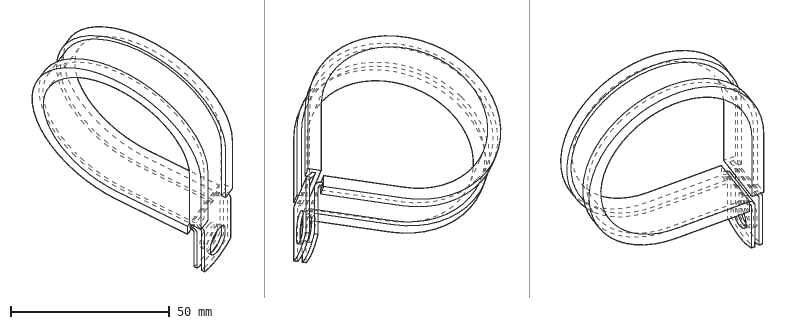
import cadquery as cq
import math


bore_radius = 27.0
liner_thickness = 1.5
strap_thickness = 1.25
lip_thickness = 1.5
strap_inner_radius = bore_radius + liner_thickness
strap_outer_radius = strap_inner_radius + strap_thickness
cushion_outer_radius = strap_outer_radius + lip_thickness

cushion_width = 18.92
strap_width = 15.8
groove_width = 10.6

upright_leg_length = 25.2
level_leg_length = 26.2

tab_outer_x = 31.63
tab_gap = 1.5
tab_tip_z = -50.73
tab_tip_sag = 1.75
bolt_hole_diameter = 8.7
bolt_slot_length = 11.0
bolt_hole_z = -41.4

outer_tab_inner_x = tab_outer_x - strap_thickness
inner_tab_outer_x = outer_tab_inner_x - tab_gap
inner_tab_inner_x = inner_tab_outer_x - strap_thickness

jog_lead = 0.2
jog_start_z = -upright_leg_length + jog_lead
bend_inner_radius = strap_thickness
bend_outer_radius = bend_inner_radius + strap_thickness


def xz_sketch(width):
    """Workplane with local axes X and Z, set so extruding by width is centred on Y = 0."""
    return cq.Workplane("XZ", origin=(0, width / 2, 0))


def loop_band(inner_radius, outer_radius, width):
    """Three-quarter ring with an upright leg at +X and a level leg at -Z."""
    diagonal = math.sqrt(0.5)
    return (
        xz_sketch(width)
        .moveTo(outer_radius, -upright_leg_length)
        .lineTo(outer_radius, 0)
        .threePointArc((-outer_radius * diagonal, outer_radius * diagonal), (0, -outer_radius))
        .lineTo(level_leg_length, -outer_radius)
        .lineTo(level_leg_length, -inner_radius)
        .lineTo(0, -inner_radius)
        .threePointArc((-inner_radius * diagonal, inner_radius * diagonal), (inner_radius, 0))
        .lineTo(inner_radius, -upright_leg_length)
        .close()
        .extrude(width)
    )


def point_around(center, radius, degrees):
    """Point at an angle on a circle; 0 degrees is +X and 90 degrees is +Z."""
    angle = math.radians(degrees)
    return (center[0] + radius * math.cos(angle), center[1] + radius * math.sin(angle))


def outer_tab():
    """Strap end below the upright leg: a 45 degree jog outwards, then a straight tab."""
    first_center = (strap_outer_radius + bend_inner_radius, jog_start_z)
    second_center_x = tab_outer_x - bend_outer_radius
    slope_start = point_around(first_center, bend_inner_radius, 225)
    slope_end_x = point_around((second_center_x, 0), bend_outer_radius, 45)[0]
    slope_end_z = slope_start[1] - (slope_end_x - slope_start[0])
    second_center = (
        second_center_x,
        slope_end_z - bend_outer_radius * math.sin(math.radians(45)),
    )
    return (
        xz_sketch(strap_width)
        .moveTo(strap_inner_radius, jog_start_z)
        .lineTo(strap_outer_radius, jog_start_z)
        .threePointArc(point_around(first_center, bend_inner_radius, 202.5), slope_start)
        .lineTo(slope_end_x, slope_end_z)
        .threePointArc(
            point_around(second_center, bend_outer_radius, 22.5),
            point_around(second_center, bend_outer_radius, 0),
        )
        .lineTo(tab_outer_x, tab_tip_z)
        .lineTo(outer_tab_inner_x, tab_tip_z)
        .lineTo(*point_around(second_center, bend_inner_radius, 0))
        .threePointArc(
            point_around(second_center, bend_inner_radius, 22.5),
            point_around(second_center, bend_inner_radius, 45),
        )
        .lineTo(*point_around(first_center, bend_outer_radius, 225))
        .threePointArc(
            point_around(first_center, bend_outer_radius, 202.5),
            (strap_inner_radius, jog_start_z),
        )
        .close()
        .extrude(strap_width)
    )


def inner_tab():
    """Strap end beyond the level leg: a rounded right-angle bend down, then a straight tab."""
    bend_center = (
        inner_tab_outer_x - bend_outer_radius,
        -strap_inner_radius - bend_outer_radius,
    )
    return (
        xz_sketch(strap_width)
        .moveTo(level_leg_length, -strap_inner_radius)
        .lineTo(*point_around(bend_center, bend_outer_radius, 90))
        .threePointArc(
            point_around(bend_center, bend_outer_radius, 45),
            point_around(bend_center, bend_outer_radius, 0),
        )
        .lineTo(inner_tab_outer_x, tab_tip_z)
        .lineTo(inner_tab_inner_x, tab_tip_z)
        .lineTo(*point_around(bend_center, bend_inner_radius, 0))
        .threePointArc(
            point_around(bend_center, bend_inner_radius, 45),
            point_around(bend_center, bend_inner_radius, 90),
        )
        .lineTo(level_leg_length, -strap_outer_radius)
        .close()
        .extrude(strap_width)
    )


def tab_outline():
    """Block with the curved tab tip, used to trim the strap ends."""
    half_width = strap_width / 2
    shoulder_z = tab_tip_z + tab_tip_sag
    return (
        cq.Workplane("YZ")
        .moveTo(-half_width, 0)
        .lineTo(-half_width, shoulder_z)
        .threePointArc((0, tab_tip_z), (half_width, shoulder_z))
        .lineTo(half_width, 0)
        .close()
        .extrude(tab_outer_x)
    )


def bolt_workplane():
    """YZ workplane centred on the bolt axis."""
    return cq.Workplane("YZ", origin=(0, 0, bolt_hole_z))


def bolt_hole():
    """Round hole through the inner tab."""
    return bolt_workplane().circle(bolt_hole_diameter / 2).extrude(tab_outer_x)


def bolt_slot():
    """Slot through the outer tab, long in Z and as wide as the bolt hole."""
    return bolt_workplane().slot2D(bolt_slot_length, bolt_hole_diameter, 90).extrude(tab_outer_x)


loop = loop_band(bore_radius, cushion_outer_radius, cushion_width)
groove = loop_band(strap_outer_radius, cushion_outer_radius, groove_width)
clamp_loop = loop.cut(groove)

slotted_tab = outer_tab().intersect(tab_outline()).cut(bolt_slot())
drilled_tab = inner_tab().intersect(tab_outline()).cut(bolt_hole())

result = clamp_loop.union(slotted_tab).union(drilled_tab)